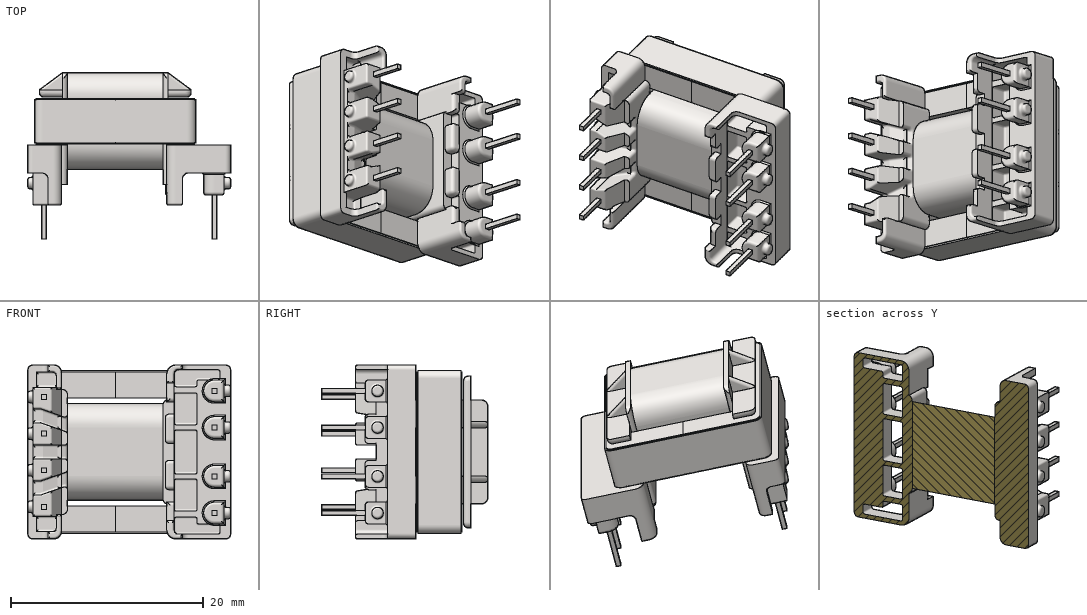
import cadquery as cq
import math


core_half_x = 8.22
core_half_z = 8.32
core_half_y = 2.36
window_half_x = 5.7
window_half_z = 5.61
leg_half_z = 2.35
core_corner = 0.68
tape_thickness = 0.17
tape_half_y = 2.25

bore_half = 2.5
tube_wall = 0.67
tube_half = bore_half + tube_wall
tube_corner = 0.6
winding_half_x = 4.97
winding_half = 5.04
winding_corner = 2.5
flange_outer_x = 5.5
flange_half_z = 5.41
flange_corner = 0.7
flange_edge_round = 0.5

lip_outer_x = 7.9
lip_half_z = 7.9
lip_front_y = 2.49
lip_back_y = 3.26
lip_corner = 0.55
lip_round = 0.5
gusset_round = 0.3

block_back_y = -2.46
block_front_y = -5.4
channel_floor_y = -5.85
flange_front_y = -6.6
boss_front_y = -7.7
rib_front_y = -7.75
standoff_y = -8.74
block_half_z = 9.05
block_corner = 0.54
standoff_root = 0.6
edge_round = 0.22
bottom_round = 0.2

pin_side = 0.5
pin_tip_y = -12.27
pin_pitch = 3.81
stub_y = -6.44
stub_radius = 0.6
stub_tip_radius = 0.36
stub_base_radius = 0.8

left_outer_x = -9.1
left_inner_x = -5.58
left_inner_corner = 0.82
left_flange_half_z = 6.5
left_flange_corner = 0.54
left_pin_x = -7.415
left_pin_z = [pin_pitch * k for k in (-1.5, -0.5, 0.5, 1.5)]
left_standoff_x = -7.0
left_end_wall = 0.76
left_side_wall = 0.55
rail_outer_x = -8.57
rail_flat_end_x = -6.6
rail_half_z = 6.72
middle_channel_half = 0.71
channel_low_z = 3.03
channel_high_z = 4.48
channel_bend_x = -7.76
channel_ramp_x = -7.5
channel_end_y = -5.1
channel_mouth_round = 0.3
channel_slope = 0.35
left_pocket_x = (-8.2, -6.05)
left_pocket_depth = 1.0

right_outer_x = 12.01
right_inner_x = 5.35
right_inner_corner = 0.95
right_flange_outer_x = 6.13
right_pin_x = 10.32
first_right_pin_z = 2.54
right_pin_z = [s * z for s in (-1, 1) for z in (first_right_pin_z, first_right_pin_z + pin_pitch)]
right_end_wall = 0.5
right_standoff_x = 7.0
right_standoff_inner_z = 7.15
right_step_inner_z = 5.18
rib_x = (5.2, 6.13)
rib_z = (0.88, 3.93)
rib_round = 0.4
rib_top_round = 0.38
boss_radius = 1.13
boss_outer_x = 11.32
boss_round = 0.3
boss_flare = 0.15
flare_angle = 45
pocket_depth = 2.0
pocket_round = 0.2
pocket_floor_round = 0.18
pocket_inner_x = 6.15
pocket_outer_x = 8.5
centre_pocket_half_z = 2.28
side_pocket_z = (2.82, 6.15)
end_pocket_z = 6.78
end_pocket_step_z = 7.5
end_pocket_outer_x = 10.88
end_pocket_outer_z = block_half_z - right_end_wall


def box(x, y, z):
    """Axis-aligned box from three (start, end) ranges given in any order."""
    x0, y0, z0 = min(x), min(y), min(z)
    size = (max(x) - x0, max(y) - y0, max(z) - z0)
    return cq.Workplane("XY").box(*size, centered=False).translate((x0, y0, z0))


def prism_y(points, y_back, y_front):
    """Outline in X and Z, extruded along -Y between two levels."""
    return cq.Workplane("XZ", origin=(0, y_back, 0)).polyline(points).close().extrude(y_back - y_front)


def rounded_tube(outer, outer_corner, inner, inner_corner, half_x):
    """Square sleeve along X with rounded outer and inner corners."""
    sleeve = cq.Workplane("YZ").rect(2 * outer, 2 * outer).extrude(half_x, both=True)
    sleeve = sleeve.edges("|X").fillet(outer_corner)
    hole = cq.Workplane("YZ").rect(2 * inner, 2 * inner).extrude(half_x, both=True)
    if inner_corner > 0:
        hole = hole.edges("|X").fillet(inner_corner)
    return sleeve.cut(hole)


def mirrored_pair(shape):
    """The shape together with its mirror image across Z = 0."""
    return shape.union(shape.mirror("XY"))


def make_core_half(side):
    """E-core half on the -X (side = -1) or +X (side = 1) end."""
    y_range = (-core_half_y, core_half_y)
    half = box((0, side * core_half_x), y_range, (-core_half_z, core_half_z))
    outer_face = "<X" if side < 0 else ">X"
    half = half.faces(outer_face).edges("|Y").fillet(core_corner)
    window = box((0, side * window_half_x), y_range, (leg_half_z, window_half_z))
    return half.cut(mirrored_pair(window))


def make_tape():
    """Band wrapped once round the outside of the core."""
    core_plan = cq.Workplane("XZ").rect(2 * core_half_x, 2 * core_half_z)
    inside = core_plan.extrude(tape_half_y, both=True).edges("|Y").fillet(core_corner)
    tape_x = core_half_x + tape_thickness
    tape_z = core_half_z + tape_thickness
    outside = cq.Workplane("XZ").rect(2 * tape_x, 2 * tape_z).extrude(tape_half_y, both=True)
    outside = outside.edges("|Y").fillet(core_corner + tape_thickness)
    return outside.cut(inside)


def make_winding():
    return rounded_tube(winding_half, winding_corner, tube_half, tube_corner, winding_half_x)


def make_flange(side):
    """Back part of a flange, with its clip lip and the two gussets behind it."""
    outer_face = "<X" if side < 0 else ">X"
    inner_face = ">X" if side < 0 else "<X"
    flange_x = (side * winding_half_x, side * flange_outer_x)
    plate = box(flange_x, (block_back_y, winding_half), (-flange_half_z, flange_half_z))
    rounded_corners = plate.faces(">Y").edges("|X").fillet(flange_corner)
    rounded_sides = plate.faces(inner_face).edges("|Y").fillet(flange_edge_round)
    flange = rounded_corners.intersect(rounded_sides)

    lip_x = (side * winding_half_x, side * lip_outer_x)
    lip = box(lip_x, (lip_front_y, lip_back_y), (-lip_half_z, lip_half_z))
    lip = lip.faces(outer_face).edges("|Y").fillet(lip_corner)
    lip = lip.faces("<Y").edges().fillet(lip_round)
    lip = lip.cut(box((0, side * flange_outer_x), (0, winding_half), (-block_half_z, block_half_z)))

    gusset = (
        cq.Workplane("XY", origin=(0, 0, bore_half))
        .moveTo(side * lip_outer_x, lip_back_y)
        .lineTo(side * flange_outer_x, winding_half)
        .lineTo(side * flange_outer_x, lip_back_y)
        .close()
        .extrude(tube_wall)
    )
    gusset = gusset.edges("not(|X or |Y or |Z)").fillet(gusset_round)
    return flange.union(lip).union(mirrored_pair(gusset))


def make_spool():
    tube = rounded_tube(tube_half, tube_corner, bore_half, 0, flange_outer_x)
    spool = tube.union(make_flange(-1)).union(make_flange(1))
    bore = box((-flange_outer_x, flange_outer_x), (-bore_half, bore_half), (-bore_half, bore_half))
    return spool.cut(bore)


def channel_wall_z(z_at_bend, x):
    """Height of a slanted channel wall at a given X beyond the bend."""
    return z_at_bend - channel_slope * (x - channel_bend_x)


def make_wire_channels():
    """Cutter for the three channels that lead wires between the pin blocks to the winding."""
    middle = box(
        (left_outer_x, 0),
        (0, standoff_y),
        (-middle_channel_half, middle_channel_half),
    )
    slanted = prism_y(
        [
            (left_outer_x, channel_high_z),
            (channel_bend_x, channel_high_z),
            (0, channel_wall_z(channel_high_z, 0)),
            (0, channel_wall_z(channel_low_z, 0)),
            (channel_bend_x, channel_low_z),
            (left_outer_x, channel_low_z),
        ],
        0,
        standoff_y,
    )
    above_floor = (
        cq.Workplane("XY")
        .moveTo(left_outer_x, standoff_y)
        .lineTo(left_outer_x, channel_floor_y)
        .lineTo(channel_ramp_x, channel_floor_y)
        .lineTo(-winding_half_x, channel_end_y)
        .lineTo(-winding_half_x, standoff_y)
        .close()
        .extrude(rail_half_z, both=True)
    )
    channels = middle.union(mirrored_pair(slanted)).intersect(above_floor)
    floor_band = cq.selectors.BoxSelector(
        (left_outer_x, channel_floor_y - edge_round, -rail_half_z),
        (0, channel_end_y + edge_round, rail_half_z),
    )
    return channels.edges(floor_band).edges("not |Z").fillet(edge_round)


def make_pin_rail():
    """Rail along Z with the winding flange beside it, cut by the wire channels into four pin blocks."""
    rail = (
        cq.Workplane("XY")
        .moveTo(rail_outer_x, block_front_y)
        .lineTo(rail_outer_x, standoff_y)
        .lineTo(rail_flat_end_x, standoff_y)
        .lineTo(left_inner_x, flange_front_y)
        .lineTo(left_inner_x, block_front_y)
        .close()
        .extrude(rail_half_z, both=True)
    )
    flange = box(
        (left_inner_x, -winding_half_x),
        (block_back_y, flange_front_y),
        (-left_flange_half_z, left_flange_half_z),
    )
    flange = flange.edges("|Y and >X").fillet(left_flange_corner)
    rail = rail.union(flange).cut(make_wire_channels())

    mouth = cq.selectors.BoxSelector(
        (-winding_half_x - edge_round, flange_front_y, -channel_high_z),
        (-winding_half_x + edge_round, channel_end_y, channel_high_z),
    )
    rail = rail.edges("|Y").edges(mouth).fillet(channel_mouth_round)
    outer_corners = cq.selectors.BoxSelector(
        (rail_outer_x - edge_round, standoff_y, -channel_high_z - edge_round),
        (rail_outer_x + edge_round, channel_floor_y, channel_high_z + edge_round),
    )
    rail = rail.edges("|Y").edges(outer_corners).fillet(edge_round)
    rail = rail.faces("<Y").edges().fillet(bottom_round)

    floor_base = box(
        (rail_outer_x, channel_ramp_x),
        (block_front_y, channel_floor_y),
        (-rail_half_z, rail_half_z),
    )
    return rail.union(floor_base)


def make_standoff(inner_x, end_x, side_wall_x, side_inner_z, end_wall, corner):
    """L-shaped standoff wall at the +Z end, with a concave root where the end wall leaves the block.

    The side wall lies along Z from inner_x to side_wall_x, and the end wall along X up to end_x.
    """
    outward = math.copysign(1, end_x - inner_x)
    z_inner = block_half_z - end_wall
    middle_y = (block_front_y + standoff_y) / 2
    outline = [
        (inner_x, side_inner_z),
        (inner_x, block_half_z),
        (end_x, block_half_z),
        (end_x, z_inner),
        (side_wall_x, z_inner),
        (side_wall_x, side_inner_z),
    ]
    wall = prism_y(outline, block_front_y, standoff_y)
    outer_edge = cq.selectors.NearestToPointSelector((inner_x, middle_y, block_half_z))
    inner_edge = cq.selectors.NearestToPointSelector((side_wall_x, middle_y, z_inner))
    wall = wall.edges(outer_edge).fillet(corner)
    wall = wall.edges(inner_edge).fillet(corner / 2)
    wall = wall.faces("<Y").edges().fillet(edge_round)
    root = (
        cq.Workplane("XY", origin=(0, 0, z_inner))
        .moveTo(end_x, block_front_y)
        .lineTo(end_x + outward * standoff_root, block_front_y)
        .radiusArc((end_x, block_front_y - standoff_root), -outward * standoff_root)
        .close()
        .extrude(end_wall)
    )
    return wall.union(root)


def make_left_block():
    depth = (block_back_y, block_front_y)
    block = box((left_outer_x, left_inner_x), depth, (-block_half_z, block_half_z))
    block = block.edges("|Y and <X").fillet(block_corner)
    block = block.edges("|Y and >X").fillet(left_inner_corner)

    standoff = make_standoff(
        left_inner_x,
        left_standoff_x,
        left_inner_x - left_side_wall,
        rail_half_z - edge_round,
        left_end_wall,
        left_inner_corner,
    )
    pocket = box(
        left_pocket_x,
        (block_front_y, block_front_y + left_pocket_depth),
        (rail_half_z, block_half_z - left_end_wall),
    )
    pocket = pocket.faces(">Y").edges().fillet(edge_round)
    block = block.cut(mirrored_pair(pocket))
    return block.union(make_pin_rail()).union(mirrored_pair(standoff))


def make_right_pockets():
    """Lightening pockets in the board side of the right block."""
    bottom_y = block_front_y + pocket_depth
    depth = (block_front_y, bottom_y)
    columns = (pocket_inner_x, pocket_outer_x)
    centre = box(columns, depth, (-centre_pocket_half_z, centre_pocket_half_z))
    centre = centre.edges("|Y or >Y").fillet(pocket_round)
    side = box(columns, depth, side_pocket_z)
    side = side.edges("|Y or >Y").fillet(pocket_round)
    end_outline = [
        (pocket_inner_x, end_pocket_z),
        (pocket_outer_x, end_pocket_z),
        (pocket_outer_x, end_pocket_step_z),
        (end_pocket_outer_x, end_pocket_step_z),
        (end_pocket_outer_x, end_pocket_outer_z),
        (pocket_inner_x, end_pocket_outer_z),
    ]
    end = prism_y(end_outline, bottom_y, block_front_y)
    end = end.edges("|Y").fillet(pocket_round)
    end = end.faces(">Y").edges().fillet(pocket_floor_round)
    return centre.union(mirrored_pair(side)).union(mirrored_pair(end))


def pin_boss_outline(z):
    """D-shaped outline round a right-hand pin, flat on the +X side."""
    return (
        cq.Workplane("XZ", origin=(0, block_front_y, 0))
        .moveTo(boss_outer_x, z - boss_radius)
        .lineTo(right_pin_x, z - boss_radius)
        .threePointArc((right_pin_x - boss_radius, z), (right_pin_x, z + boss_radius))
        .lineTo(boss_outer_x, z + boss_radius)
        .close()
    )


def make_pin_boss(z):
    boss = pin_boss_outline(z).extrude(block_front_y - boss_front_y)
    return boss.faces("<Y").edges().fillet(boss_round)


def make_boss_flare(z):
    """Bevelled skirt where a pin boss meets the block."""
    return pin_boss_outline(z).offset2D(boss_flare, "intersection").extrude(boss_flare, taper=flare_angle)


def make_right_block():
    depth = (block_back_y, block_front_y)
    block = box((right_inner_x, right_outer_x), depth, (-block_half_z, block_half_z))
    block = block.edges("|Y and >X").fillet(block_corner)
    block = block.edges("|Y and <X").fillet(right_inner_corner)

    flange = box(
        (winding_half_x, right_flange_outer_x),
        (block_back_y, flange_front_y),
        (-flange_half_z, flange_half_z),
    )
    flange = flange.edges("|Y and <X").fillet(flange_edge_round)

    standoff = make_standoff(
        right_inner_x,
        right_standoff_x,
        right_flange_outer_x,
        right_standoff_inner_z,
        right_end_wall,
        right_inner_corner,
    )
    step = box(
        (right_inner_x, right_flange_outer_x),
        (block_front_y, rib_front_y),
        (right_step_inner_z, right_standoff_inner_z + edge_round),
    )
    step = step.faces("<Y").edges("<X or <Z").fillet(rib_round)
    rib = box(rib_x, (block_front_y, rib_front_y), rib_z)
    rib = rib.edges("|Y and <X").fillet(rib_round)
    rib = rib.faces("<Y").edges("not >X").fillet(rib_top_round)

    for z in right_pin_z:
        block = block.union(make_boss_flare(z))
    block = block.cut(make_right_pockets()).union(flange)
    for wall in (standoff, step, rib):
        block = block.union(mirrored_pair(wall))
    for z in right_pin_z:
        block = block.union(make_pin_boss(z))
    return block


def make_pin(x, root_y, z):
    half = pin_side / 2
    return box((x - half, x + half), (root_y, pin_tip_y), (z - half, z + half))


def make_stub(root_x, tip_x, z):
    """Round wire stub along X with a flared root and a bevelled tip."""
    outward = math.copysign(1, tip_x - root_x)
    flare = stub_base_radius - stub_radius
    bevel = stub_radius - stub_tip_radius
    profile = (
        cq.Workplane("XY", origin=(0, stub_y, z))
        .moveTo(root_x, 0)
        .lineTo(root_x, stub_base_radius)
        .radiusArc((root_x + outward * flare, stub_radius), -outward * flare)
        .lineTo(tip_x - outward * bevel, stub_radius)
        .radiusArc((tip_x, stub_tip_radius), outward * bevel)
        .lineTo(tip_x, 0)
        .close()
    )
    return profile.revolve(360, (0, 0, 0), (1, 0, 0))


def make_bobbin():
    bobbin = make_spool().union(make_left_block()).union(make_right_block())
    for z in left_pin_z:
        bobbin = bobbin.union(make_pin(left_pin_x, standoff_y, z))
        bobbin = bobbin.union(make_stub(rail_outer_x, left_outer_x, z))
    for z in right_pin_z:
        bobbin = bobbin.union(make_pin(right_pin_x, boss_front_y, z))
        bobbin = bobbin.union(make_stub(boss_outer_x, right_outer_x, z))
    return bobbin


core_halves = [make_core_half(side) for side in (-1, 1)]
tape = make_tape()
winding = make_winding()
bobbin = make_bobbin()

result = cq.Compound.makeCompound(
    [*[half.val() for half in core_halves], tape.val(), winding.val(), bobbin.val()]
)